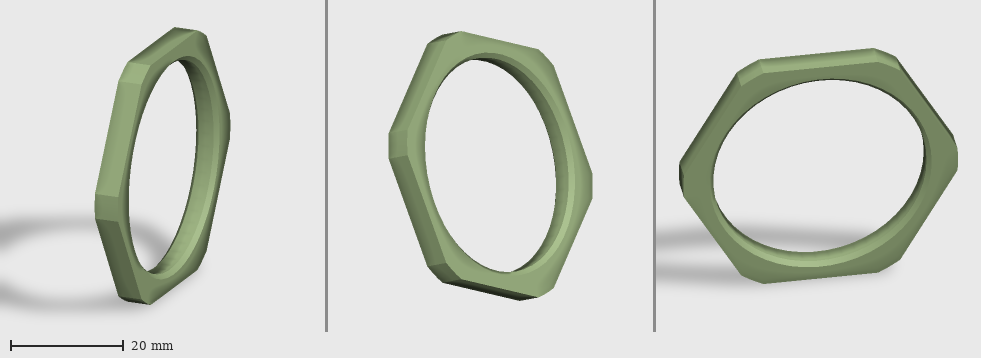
import cadquery as cq
import math

thickness = 4.5
across_flats = 45.0
corner_diameter = 49.5
bore_diameter = 38.4
chamfer_diameter = 40.0

across_corners = across_flats / math.cos(math.radians(30))
bore_chamfer = (chamfer_diameter - bore_diameter) / 2


def hexagon_blank():
    """Hexagonal plate with its corners turned down to a cylinder."""
    hexagon = cq.Workplane("YZ").polygon(6, across_corners).extrude(thickness / 2, both=True)
    corner_cylinder = cq.Workplane("YZ").circle(corner_diameter / 2).extrude(thickness / 2, both=True)
    return hexagon.intersect(corner_cylinder)


def chamfered_bore():
    """Through bore that widens at 45 degrees to both faces."""
    bore_radius = bore_diameter / 2
    mouth_radius = chamfer_diameter / 2
    face = thickness / 2
    chamfer_end = face - bore_chamfer
    profile = [
        (-face, 0),
        (-face, mouth_radius),
        (-chamfer_end, bore_radius),
        (chamfer_end, bore_radius),
        (face, mouth_radius),
        (face, 0),
    ]
    return cq.Workplane("XY").polyline(profile).close().revolve(360, (0, 0, 0), (1, 0, 0))


result = hexagon_blank().cut(chamfered_bore())